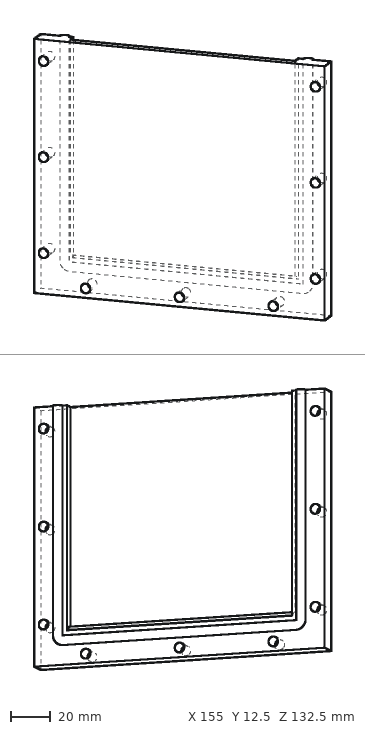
import cadquery as cq
import math

width = 155.0
height = 132.5
plate_depth = 10.0

rail_width = 17.5
floor_depth = 5.0
crease_depth = 8.4
round_radius = 3.7
cove_radius = 3.4

ridge_radius = 2.5
ridge_inset = 12.5
bend_radius = 2.8

hole_diameter = 5.0
hole_inset = 5.0
hole_spacing = 50.0
side_hole_start = 21.2


def recessed_plate():
    """Plate with a recess whose lower wall is a hollow cove above a convex round."""
    plate = cq.Workplane("XY").box(width, plate_depth, height, centered=False)

    cove_angle = math.asin((plate_depth - crease_depth) / cove_radius)
    round_angle = math.asin((crease_depth - floor_depth) / round_radius)

    def cove_point(angle):
        return (
            plate_depth - cove_radius * math.sin(angle),
            rail_width + cove_radius * (1 - math.cos(angle)),
        )

    crease = cove_point(cove_angle)
    floor_z = crease[1] + round_radius * (1 - math.cos(round_angle))

    def round_point(angle):
        return (
            floor_depth + round_radius * math.sin(angle),
            floor_z - round_radius * (1 - math.cos(angle)),
        )

    recess = (
        cq.Workplane("YZ", origin=(rail_width, 0, 0))
        .moveTo(plate_depth, rail_width)
        .threePointArc(cove_point(cove_angle / 2), crease)
        .threePointArc(round_point(round_angle / 2), round_point(0))
        .lineTo(floor_depth, height)
        .lineTo(plate_depth, height)
        .close()
        .extrude(width - 2 * rail_width)
    )
    return plate.cut(recess)


def ridge():
    """Round bar swept along a U with rounded bottom corners."""
    right_inset = width - ridge_inset
    bend_end = ridge_inset + bend_radius
    path = (
        cq.Workplane("XZ", origin=(0, plate_depth, 0))
        .moveTo(ridge_inset, height)
        .lineTo(ridge_inset, bend_end)
        .tangentArcPoint((bend_end, ridge_inset), relative=False)
        .lineTo(width - bend_end, ridge_inset)
        .tangentArcPoint((right_inset, bend_end), relative=False)
        .lineTo(right_inset, height)
    )
    return (
        cq.Workplane("XY", origin=(ridge_inset, plate_depth, height))
        .circle(ridge_radius)
        .sweep(path)
    )


def holes():
    """Three holes along each side and three along the bottom."""
    points = []
    for i in range(3):
        side_z = side_hole_start + i * hole_spacing
        points.append((hole_inset, side_z))
        points.append((width - hole_inset, side_z))
        points.append((width / 2 + (i - 1) * hole_spacing, hole_inset))
    return (
        cq.Workplane("XZ")
        .pushPoints(points)
        .circle(hole_diameter / 2)
        .extrude(-plate_depth)
    )


result = recessed_plate().union(ridge()).cut(holes())